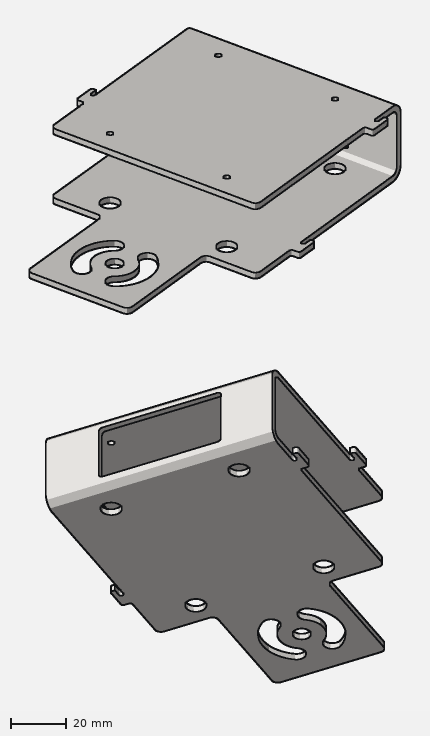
import cadquery as cq
import math

length = 136.0
height = 32.0
overall_width = 99.5
body_width = 92.0
thickness = 2.6
bend_inner_radius = 2.5
bend_outer_radius = bend_inner_radius + thickness
plate_front = 47.0
corner_radius = 2.5

tongue_width = 45.4
pivot_y = 23.0
pivot_diameter = 6.7
slot_width = 7.0
slot_mean_radius = 12.4
slot_half_angle = math.radians(54)

window_width = 49.6
window_height = 21.9
window_offset = -0.4
window_corner_radius = 1.5

hole_spacing_x = 52.0
hole_spacing_y = 66.9
rear_hole_inset = 12.9
screw_diameter = 2.5
access_diameter = 7.8

rear_hook_tip = 123.2
hook_spacing = 45.4
front_hook_tip = rear_hook_tip - hook_spacing
hook_length = 9.7
hook_post_width = 2.0
hook_notch_depth = 4.1
hook_radius = 1.0
hook_overlap = 1.4

upper_z = height - thickness
body_edge = body_width / 2
tongue_edge = tongue_width / 2
body_depth = length - plate_front


def bent_channel():
    """U-shaped channel: two plates joined by a wall with rounded bends."""
    center_y = plate_front + body_depth / 2
    outer = (
        cq.Workplane("XY")
        .box(body_width, body_depth, height, centered=(True, True, False))
        .translate((0, center_y, 0))
        .edges("|X and >Y")
        .fillet(bend_outer_radius)
        .edges("|Z and <Y")
        .fillet(corner_radius)
    )
    inner = (
        cq.Workplane("XY")
        .box(body_width, body_depth, height - 2 * thickness, centered=(True, True, False))
        .translate((0, center_y - thickness, thickness))
        .edges("|X and >Y")
        .fillet(bend_inner_radius)
    )
    return outer.cut(inner)


def tongue():
    """Tongue with rounded tip corners and concave fillets where it meets the shoulders."""
    flare = tongue_edge + corner_radius
    root = plate_front + corner_radius
    return (
        cq.Workplane("XY")
        .moveTo(0, 0)
        .lineTo(tongue_edge - corner_radius, 0)
        .tangentArcPoint((tongue_edge, corner_radius), relative=False)
        .lineTo(tongue_edge, plate_front - corner_radius)
        .tangentArcPoint((flare, plate_front), relative=False)
        .lineTo(flare, root)
        .lineTo(0, root)
        .mirrorY()
        .extrude(thickness)
    )


def hook(side, tip_y, base_z):
    """Hook opening toward +Y, on the +X edge (side = 1) or the -X edge (side = -1)."""
    outer = overall_width / 2
    notch_outer = outer - hook_post_width
    notch_radius = (notch_outer - body_edge) / 2
    notch_bottom = tip_y - hook_notch_depth
    notch_arc_y = notch_bottom + notch_radius
    foot_y = tip_y - hook_length

    def at(x, y):
        return (side * x, y)

    return (
        cq.Workplane("XY", origin=(0, 0, base_z))
        .moveTo(*at(body_edge - hook_overlap, notch_arc_y))
        .lineTo(*at(body_edge, notch_arc_y))
        .threePointArc(at(body_edge + notch_radius, notch_bottom), at(notch_outer, notch_arc_y))
        .lineTo(*at(notch_outer, tip_y))
        .lineTo(*at(outer - hook_radius, tip_y))
        .tangentArcPoint(at(outer, tip_y - hook_radius), relative=False)
        .lineTo(*at(outer, foot_y + hook_radius))
        .tangentArcPoint(at(outer - hook_radius, foot_y), relative=False)
        .lineTo(*at(body_edge + hook_radius, foot_y))
        .tangentArcPoint(at(body_edge, foot_y - hook_radius), relative=False)
        .lineTo(*at(body_edge - hook_overlap, foot_y - hook_radius))
        .close()
        .extrude(thickness)
    )


def window():
    """Rounded rectangular opening through the bend wall."""
    return (
        cq.Workplane("XY")
        .box(window_width, 2 * bend_outer_radius, window_height)
        .edges("|Y")
        .fillet(window_corner_radius)
        .translate((window_offset, length, height / 2))
    )


def hole_pattern(diameter, base_z):
    """Four holes through one plate."""
    center_y = length - rear_hole_inset - hole_spacing_y / 2
    return (
        cq.Workplane("XY", origin=(0, center_y, base_z))
        .rect(hole_spacing_x, hole_spacing_y, forConstruction=True)
        .vertices()
        .circle(diameter / 2)
        .extrude(thickness)
    )


def arc_slot(side):
    """Round-ended slot curved about the pivot, on the +X (side = 1) or -X (side = -1) half."""
    inner = slot_mean_radius - slot_width / 2
    outer = slot_mean_radius + slot_width / 2

    def at(radius, angle):
        return (side * radius * math.cos(angle), radius * math.sin(angle))

    return (
        cq.Workplane("XY", origin=(0, pivot_y, 0))
        .moveTo(*at(outer, -slot_half_angle))
        .threePointArc(at(outer, 0), at(outer, slot_half_angle))
        .tangentArcPoint(at(inner, slot_half_angle), relative=False)
        .threePointArc(at(inner, 0), at(inner, -slot_half_angle))
        .tangentArcPoint(at(outer, -slot_half_angle), relative=False)
        .close()
        .extrude(thickness)
    )


pivot_hole = cq.Workplane("XY", origin=(0, pivot_y, 0)).circle(pivot_diameter / 2).extrude(thickness)

result = bent_channel().union(tongue())

for side, tip_y, base_z in (
    (-1, rear_hook_tip, 0),
    (1, front_hook_tip, 0),
    (1, rear_hook_tip, upper_z),
    (-1, front_hook_tip, upper_z),
):
    result = result.union(hook(side, tip_y, base_z))

result = result.cut(window()).cut(pivot_hole)
result = result.cut(hole_pattern(screw_diameter, upper_z))
result = result.cut(hole_pattern(access_diameter, 0))
for side in (-1, 1):
    result = result.cut(arc_slot(side))